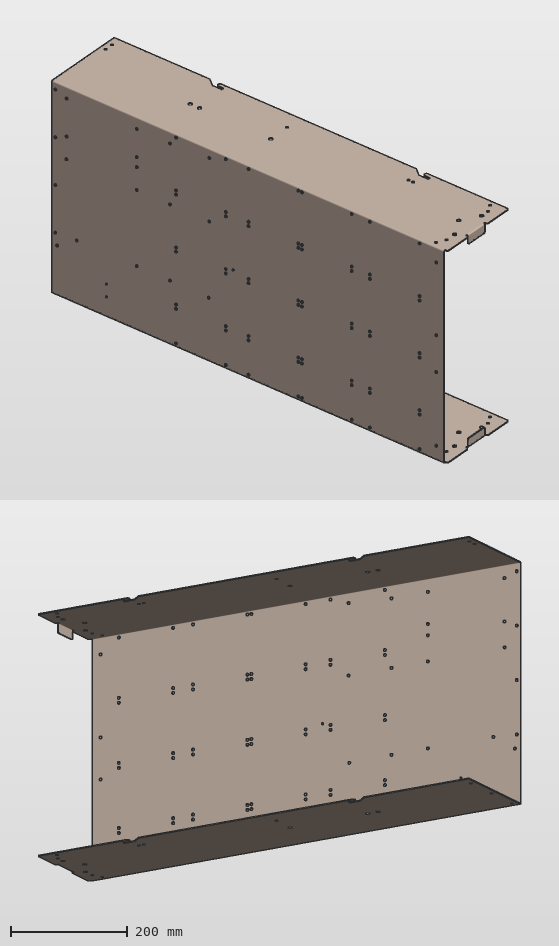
import cadquery as cq

LENGTH = 863.6
DEPTH = 172.72
HEIGHT = 435.61
THICKNESS = 2.0
BEND_RADIUS = 3.0
INNER_RADIUS = BEND_RADIUS - THICKNESS

WEB_SETBACK = 5.2
WEB_LENGTH = LENGTH - WEB_SETBACK
FLANGE_OVERLAP = 10.0
FLANGE_END_FRONT_Y = 4.5
FLANGE_CORNER_RADIUS = 3.0

PILOT_HOLE = 3.3
SCREW_HOLE = 3.45
MOUNT_HOLE = 4.9
LARGE_HOLE = 7.2

END_CENTER_Y = (BEND_RADIUS + DEPTH) / 2
TAB_WIDTH = 47.0
TAB_HEIGHT = 18.9
TAB_SETBACK = 2.6
TAB_FACE_X = LENGTH - TAB_SETBACK
TAB_BEND_X = TAB_FACE_X - BEND_RADIUS
TAB_CORNER_RADIUS = 3.0
NOTCH_WIDTH = 52.5

HOOK_START_X = 209.8
HOOK_SPACING = 452.0
HOOK_XS = (HOOK_START_X, HOOK_START_X + HOOK_SPACING)
HOOK_RAMP = 16.0
HOOK_NOSE = 21.0
HOOK_LENGTH = 36.0
HOOK_DEPTH = 13.0
HOOK_SLOT = 5.2
HOOK_NOSE_RADIUS = 3.0

PATTERN_PITCH = 116.84
PATTERN_SPAN_X = 108.9
PATTERN_SPAN_Z = 107.95
PATTERN_GAP_Z = PATTERN_PITCH - PATTERN_SPAN_Z
PATTERN_MID_Z = 199.6
PATTERN_LOW_Z = 7.6
PATTERN_FIRST_X = 272.0
PATTERN_PAIR_X = 430.7
PATTERN_LAST_X = 696.2
PATTERN_LEFT_XS = (PATTERN_FIRST_X, PATTERN_PAIR_X, PATTERN_PAIR_X + PATTERN_PITCH, PATTERN_LAST_X)

WEB_MOUNT_HOLES = [
    (32.5, 411.6), (186.0, 411.6), (258.8, 411.6), (344.7, 416.8),
    (32.5, 333.6), (186.0, 333.6), (186.0, 353.9),
    (32.0, 287.2), (186.0, 286.7), (258.8, 286.7), (344.7, 286.7),
    (54.6, 129.9), (186.0, 130.7), (258.8, 130.7), (343.4, 129.9),
    (11.7, 102.0),
]
WEB_SCREW_HOLE = (397.0, 208.7)
WEB_PILOT_HOLES = [(119.7, 66.9), (119.7, 40.9)]
LEFT_EDGE_X = 7.8
LEFT_EDGE_ZS = (126.8, 224.5, 322.2, 419.9)
RIGHT_EDGE_X = 841.5
RIGHT_EDGE_ZS = (29.2, 180.1, 255.5, 404.6)

FLANGE_LARGE_HOLES = [
    (231.6, 91.0), (252.0, 91.0), (407.8, 91.0), (819.2, 91.0),
    (840.5, 127.3), (840.5, 52.7),
]
FLANGE_MOUNT_HOLES = [
    (407.1, 136.6), (673.2, 136.6), (683.0, 136.6),
    (840.6, 144.2), (840.4, 30.7), (831.5, 161.9), (831.5, 12.6),
]

TOP_END_X = 11.3
TOP_END_YS = (152.5, 135.1)
BOTTOM_END_X = 10.0
BOTTOM_END_YS = (149.0, 81.5, 14.0)


def make_channel():
    """U section with rounded bends, run along X over the length of the web."""
    outer = (
        cq.Workplane("YZ").rect(DEPTH, HEIGHT, centered=False).extrude(WEB_LENGTH)
        .edges("|X and <Y").fillet(BEND_RADIUS)
    )
    inner = (
        cq.Workplane("YZ").center(THICKNESS, THICKNESS)
        .rect(DEPTH, HEIGHT - 2 * THICKNESS, centered=False).extrude(WEB_LENGTH)
        .edges("|X and <Y").fillet(INNER_RADIUS)
    )
    return outer.cut(inner)


def make_flange_end():
    """End of the bottom flange, standing past the web and notched around the tab."""
    start_x = WEB_LENGTH - FLANGE_OVERLAP
    plate = (
        cq.Workplane("XY").center(start_x, FLANGE_END_FRONT_Y)
        .rect(LENGTH - start_x, DEPTH - FLANGE_END_FRONT_Y, centered=False).extrude(THICKNESS)
    )
    return plate.cut(make_notch()).edges("|Z and >X").fillet(FLANGE_CORNER_RADIUS)


def make_tab():
    """Upright tab bent from the end of the bottom flange."""
    profile = (
        cq.Workplane("XZ", origin=(0, END_CENTER_Y + TAB_WIDTH / 2, 0))
        .moveTo(TAB_BEND_X, 0)
        .radiusArc((TAB_FACE_X, BEND_RADIUS), -BEND_RADIUS)
        .lineTo(TAB_FACE_X, TAB_HEIGHT)
        .lineTo(TAB_FACE_X - THICKNESS, TAB_HEIGHT)
        .lineTo(TAB_FACE_X - THICKNESS, BEND_RADIUS)
        .radiusArc((TAB_BEND_X, THICKNESS), INNER_RADIUS)
        .close()
    )
    return profile.extrude(TAB_WIDTH).edges("|X and >Z").fillet(TAB_CORNER_RADIUS)


def make_notch():
    """Cutter for the tab notch at the end of the bottom flange."""
    return (
        cq.Workplane("XY").center(TAB_BEND_X, END_CENTER_Y - NOTCH_WIDTH / 2)
        .rect(LENGTH - TAB_BEND_X, NOTCH_WIDTH, centered=False).extrude(THICKNESS)
    )


def make_hook_slot(x):
    """Cutter for one hook slot, entered from the free edge of the flanges."""
    slot_top_y = DEPTH - HOOK_DEPTH + HOOK_SLOT
    nose_x = x + HOOK_NOSE
    return (
        cq.Workplane("XY").moveTo(x, DEPTH)
        .lineTo(x + HOOK_RAMP, DEPTH - HOOK_DEPTH)
        .lineTo(x + HOOK_LENGTH, DEPTH - HOOK_DEPTH)
        .lineTo(x + HOOK_LENGTH, slot_top_y)
        .lineTo(nose_x + HOOK_NOSE_RADIUS, slot_top_y)
        .radiusArc((nose_x, slot_top_y + HOOK_NOSE_RADIUS), HOOK_NOSE_RADIUS)
        .lineTo(nose_x, DEPTH - HOOK_NOSE_RADIUS)
        .radiusArc((nose_x + HOOK_NOSE_RADIUS, DEPTH), HOOK_NOSE_RADIUS)
        .close().extrude(HEIGHT)
    )


def web_holes(points, diameter):
    """Cutters through the web at (x, z) points."""
    return (
        cq.Workplane("XZ", origin=(0, THICKNESS, 0))
        .pushPoints(points).circle(diameter / 2).extrude(THICKNESS)
    )


def flange_holes(points, diameter, bottom_z, height=THICKNESS):
    """Cutters standing on bottom_z at (x, y) points."""
    return (
        cq.Workplane("XY", origin=(0, 0, bottom_z))
        .pushPoints(points).circle(diameter / 2).extrude(height)
    )


def pattern_points():
    """Corner points of the mounting patterns on the web."""
    gap_zs = [PATTERN_MID_Z + step * PATTERN_PITCH for step in (-1, 0, 1)]
    rows = [PATTERN_LOW_Z]
    for gap_z in gap_zs:
        rows += [gap_z - PATTERN_GAP_Z / 2, gap_z + PATTERN_GAP_Z / 2]
    rows.append(rows[-1] + PATTERN_SPAN_Z)
    columns = [left + offset for left in PATTERN_LEFT_XS for offset in (0, PATTERN_SPAN_X)]
    return [(x, z) for x in columns for z in rows]


def mirrored_to_top(bottom):
    """Join a feature of the bottom flange with its copy on the top flange."""
    top = bottom.mirror("XY", (0, 0, HEIGHT / 2))
    return bottom.union(top)


def drill_web(body):
    edge_points = [(LEFT_EDGE_X, z) for z in LEFT_EDGE_ZS]
    edge_points += [(RIGHT_EDGE_X, z) for z in RIGHT_EDGE_ZS]
    body = body.cut(web_holes(pattern_points(), MOUNT_HOLE))
    body = body.cut(web_holes(edge_points + WEB_MOUNT_HOLES, MOUNT_HOLE))
    body = body.cut(web_holes([WEB_SCREW_HOLE], SCREW_HOLE))
    return body.cut(web_holes(WEB_PILOT_HOLES, PILOT_HOLE))


def drill_flanges(body):
    top_end = [(TOP_END_X, y) for y in TOP_END_YS]
    bottom_end = [(BOTTOM_END_X, y) for y in BOTTOM_END_YS]
    body = body.cut(flange_holes(FLANGE_LARGE_HOLES, LARGE_HOLE, 0, HEIGHT))
    body = body.cut(flange_holes(FLANGE_MOUNT_HOLES, MOUNT_HOLE, 0, HEIGHT))
    body = body.cut(flange_holes(top_end, MOUNT_HOLE, HEIGHT - THICKNESS))
    return body.cut(flange_holes(bottom_end, MOUNT_HOLE, 0))


result = make_channel().cut(mirrored_to_top(make_notch()))
result = result.union(mirrored_to_top(make_flange_end())).union(mirrored_to_top(make_tab()))
for hook_x in HOOK_XS:
    result = result.cut(make_hook_slot(hook_x))
result = drill_web(result)
result = drill_flanges(result)